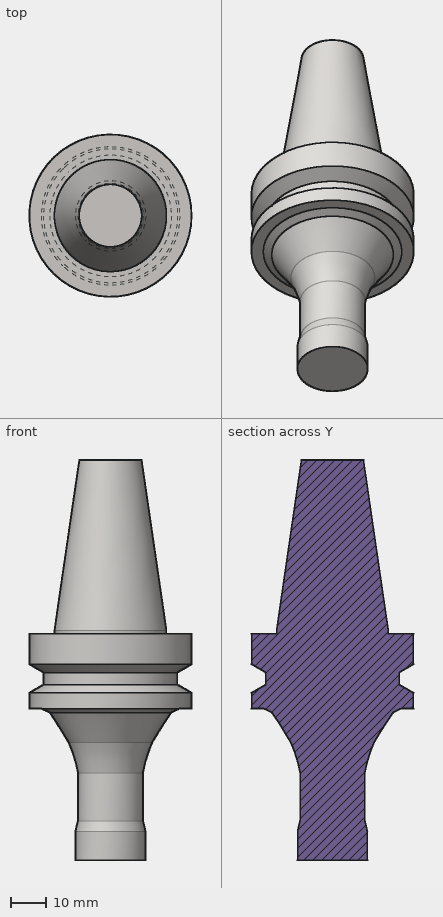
import cadquery as cq
import math

total_height = 113.4
collar_top = 8.2
shank_bottom = 11.2
shank_top = 24.8
flare_joint = 33.5
flare_top = 41.8
flange_bottom = 43.0
groove_center = 51.5
flange_top = 64.2
gauge_line = 65.2

collar_radius = 20.0 / 2
shank_radius = 18.5 / 2
flare_joint_radius = 11.9
flare_top_radius = 17.2
flare_rim_radius = 19.6
flange_radius = 46.0 / 2
groove_radius = 38.0 / 2
gauge_radius = 31.8 / 2

groove_floor_width = 3.4
groove_wall_angle = 30.0
groove_wall_height = (flange_radius - groove_radius) * math.tan(math.radians(groove_wall_angle))
groove_floor_bottom = groove_center - groove_floor_width / 2
groove_floor_top = groove_center + groove_floor_width / 2

taper_ratio = 7 / 24
taper_tip_radius = gauge_radius - (total_height - gauge_line) * taper_ratio / 2

lower_flare_bow = 0.28
upper_flare_bow = 0.1


def bowed_midpoint(start, end, bow):
    """Middle of a concave arc, shifted toward the axis from the chord."""
    return (start[0] + end[0]) / 2 - bow, (start[1] + end[1]) / 2


shank_end = (shank_radius, shank_top)
flare_middle = (flare_joint_radius, flare_joint)
flare_end = (flare_top_radius, flare_top)

profile = (
    cq.Workplane("XZ")
    .moveTo(0, 0)
    .lineTo(collar_radius, 0)
    .lineTo(collar_radius, collar_top)
    .lineTo(shank_radius, shank_bottom)
    .lineTo(*shank_end)
    .threePointArc(bowed_midpoint(shank_end, flare_middle, lower_flare_bow), flare_middle)
    .threePointArc(bowed_midpoint(flare_middle, flare_end, upper_flare_bow), flare_end)
    .lineTo(flare_rim_radius, flange_bottom)
    .lineTo(flange_radius, flange_bottom)
    .lineTo(flange_radius, groove_floor_bottom - groove_wall_height)
    .lineTo(groove_radius, groove_floor_bottom)
    .lineTo(groove_radius, groove_floor_top)
    .lineTo(flange_radius, groove_floor_top + groove_wall_height)
    .lineTo(flange_radius, flange_top)
    .lineTo(gauge_radius, flange_top)
    .lineTo(gauge_radius, gauge_line)
    .lineTo(taper_tip_radius, total_height)
    .lineTo(0, total_height)
    .close()
)

result = profile.revolve(360, (0, 0), (0, 1))